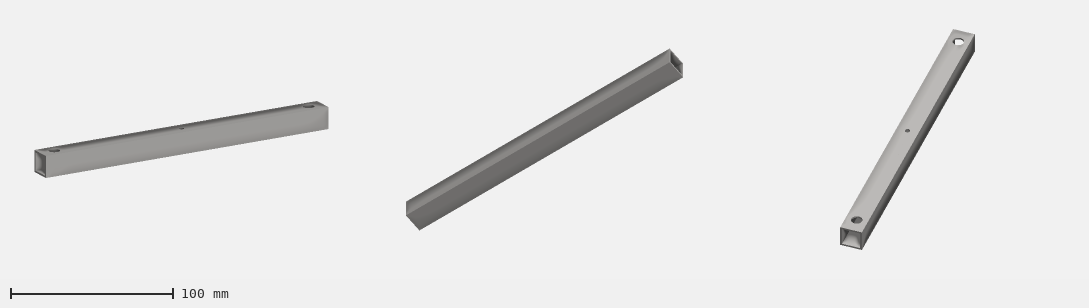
import cadquery as cq

length = 200
width = 14.2
wall = 1.2
bore = width - 2 * wall

end_hole_diameter = 7.0
end_hole_inset = 10.0
centre_hole_diameter = 3.2
end_hole_y = length / 2 - end_hole_inset


def top_wall_hole(y, diameter):
    """Vertical cutter from the tube's centre plane up through the top wall."""
    return cq.Workplane("XY").center(0, y).circle(diameter / 2).extrude(width)


tube = cq.Workplane("XY").box(width, length, width)
tube = tube.cut(cq.Workplane("XY").box(bore, length, bore))

for y in (-end_hole_y, end_hole_y):
    tube = tube.cut(top_wall_hole(y, end_hole_diameter))
tube = tube.cut(top_wall_hole(0, centre_hole_diameter))

result = tube